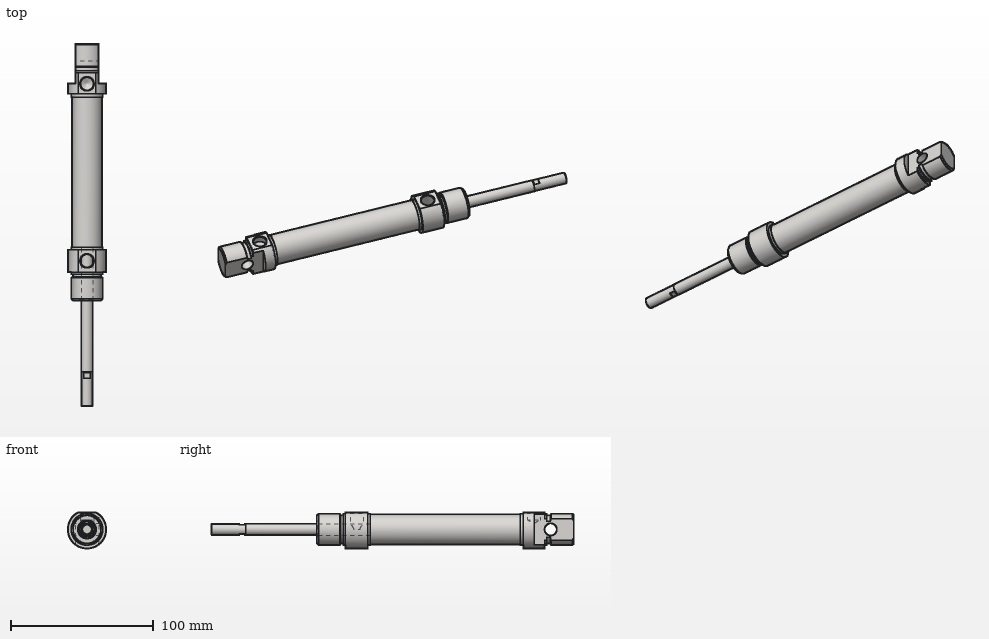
import cadquery as cq


total_length = 254.0
port_flat_height = 12.0

collar_diameter = 27.0
thread_diameter = 22.0
groove_diameter = 19.8
barrel_diameter = 21.3
rod_diameter = 8.1
port_diameter = 9.1
port_mouth_diameter = 10.0
port_chamfer_depth = 0.5

rod_thread_end = 24.1
front_cap_start = 74.0
front_thread_end = 90.2
front_collar_start = 94.0
front_collar_end = 109.7
rear_collar_start = 218.7
rear_collar_end = 233.5
rear_groove_end = 238.0

front_crimp_length = 1.8
rear_crimp_length = 2.3
shoulder_length = 1.5
groove_taper_length = 0.5
front_face_diameter = 19.5
front_chamfer_length = 1.5
front_port_y = 101.9
seal_recess_mouth = 13.0
seal_recess_floor = 10.7
seal_recess_depth = 0.8

clevis_width = 16.3
clevis_flat_start = 226.0
clevis_chamfer = 1.0
pin_hole_diameter = 8.5
pin_hole_y = 237.7
rear_port_y = 225.8
rear_port_depth = 5.0
drill_tip_depth = 2.5

rod_thread_diameter = 8.0
rod_tip_diameter = 6.5
rod_tip_chamfer_length = 0.5
rod_flat_start = 19.8
rod_flat_length = 3.8
rod_flat_height = 3.3

front_crimp_end = front_collar_end + front_crimp_length
rear_crimp_start = rear_collar_start - rear_crimp_length
cutter_size = 2 * collar_diameter


def turned(profile):
    """Revolve (radius, y) points about the Y axis."""
    return cq.Workplane("XY").polyline(profile).close().revolve(360, (0, 0, 0), (0, 1, 0))


def cylinder(diameter, start, end):
    """Round bar on the common axis from Y = start to Y = end."""
    radius = diameter / 2
    return turned([(0, start), (radius, start), (radius, end), (0, end)])


def collar(start, end):
    """Round collar with a flat on top for the air port."""
    flat_cutter = cq.Workplane("XY").box(
        cutter_size, total_length, cutter_size, centered=(True, False, False)
    ).translate((0, 0, port_flat_height))
    return cylinder(collar_diameter, start, end).cut(flat_cutter)


def port_hole(y, depth):
    """Vertical port drilled down from the collar flat, with a chamfered mouth."""
    hole = (
        cq.Workplane("XY", origin=(0, y, port_flat_height))
        .circle(port_diameter / 2)
        .extrude(-depth)
    )
    mouth = cq.Solid.makeCone(
        port_mouth_diameter / 2, port_diameter / 2, port_chamfer_depth,
        cq.Vector(0, y, port_flat_height), cq.Vector(0, 0, -1),
    )
    return hole.union(cq.Workplane(mouth))


def make_rod():
    radius = rod_diameter / 2
    rod = turned([
        (0, 0),
        (rod_tip_diameter / 2, 0),
        (rod_thread_diameter / 2, rod_tip_chamfer_length),
        (rod_thread_diameter / 2, rod_thread_end),
        (radius, rod_thread_end),
        (radius, front_crimp_end),
        (0, front_crimp_end),
    ])
    for side in (1, -1):
        flat_cutter = cq.Workplane("XY").box(rod_diameter, rod_flat_length, rod_diameter).translate(
            (0, rod_flat_start + rod_flat_length / 2, side * (rod_flat_height + radius))
        )
        rod = rod.cut(flat_cutter)
    return rod


def make_front_cap():
    thread_radius = thread_diameter / 2
    groove_radius = groove_diameter / 2
    shoulder_start = front_collar_start - shoulder_length
    cap = turned([
        (0, front_cap_start),
        (front_face_diameter / 2, front_cap_start),
        (thread_radius, front_cap_start + front_chamfer_length),
        (thread_radius, front_thread_end),
        (groove_radius, front_thread_end + groove_taper_length),
        (groove_radius, shoulder_start),
        (thread_radius, shoulder_start),
        (thread_radius, front_crimp_end),
        (0, front_crimp_end),
    ])
    cap = cap.union(collar(front_collar_start, front_collar_end))
    recess_end = front_cap_start + seal_recess_depth
    cap = cap.cut(turned([
        (0, front_cap_start),
        (seal_recess_mouth / 2, front_cap_start),
        (seal_recess_floor / 2, recess_end),
        (0, recess_end),
    ]))
    cap = cap.cut(port_hole(front_port_y, port_flat_height))
    return cap.cut(cylinder(rod_diameter, front_cap_start, front_crimp_end))


def make_barrel():
    return cylinder(barrel_diameter, front_crimp_end, rear_crimp_start)


def make_rear_cap():
    clevis_radius = thread_diameter / 2
    groove_radius = groove_diameter / 2
    shoulder_end = rear_collar_end + shoulder_length
    cap = turned([
        (0, rear_crimp_start),
        (clevis_radius, rear_crimp_start),
        (clevis_radius, shoulder_end),
        (groove_radius, shoulder_end),
        (groove_radius, rear_groove_end - groove_taper_length),
        (clevis_radius, rear_groove_end),
        (clevis_radius, total_length - clevis_chamfer),
        (clevis_radius - clevis_chamfer, total_length),
        (0, total_length),
    ])
    cap = cap.union(collar(rear_collar_start, rear_collar_end))
    for side in (1, -1):
        cheek_cutter = cq.Workplane("XY").box(
            cutter_size, total_length, cutter_size, centered=(True, False, True)
        ).translate((side * (clevis_width + cutter_size) / 2, clevis_flat_start, 0))
        cap = cap.cut(cheek_cutter)
    cap = cap.cut(
        cq.Workplane("YZ", origin=(0, pin_hole_y, 0))
        .circle(pin_hole_diameter / 2)
        .extrude(collar_diameter, both=True)
    )
    drill_tip = cq.Solid.makeCone(
        port_diameter / 2, 0, drill_tip_depth,
        cq.Vector(0, rear_port_y, port_flat_height - rear_port_depth), cq.Vector(0, 0, -1),
    )
    return cap.cut(port_hole(rear_port_y, rear_port_depth)).cut(cq.Workplane(drill_tip))


rod = make_rod()
front_cap = make_front_cap()
barrel = make_barrel()
rear_cap = make_rear_cap()
result = cq.Compound.makeCompound([rod.val(), front_cap.val(), barrel.val(), rear_cap.val()])